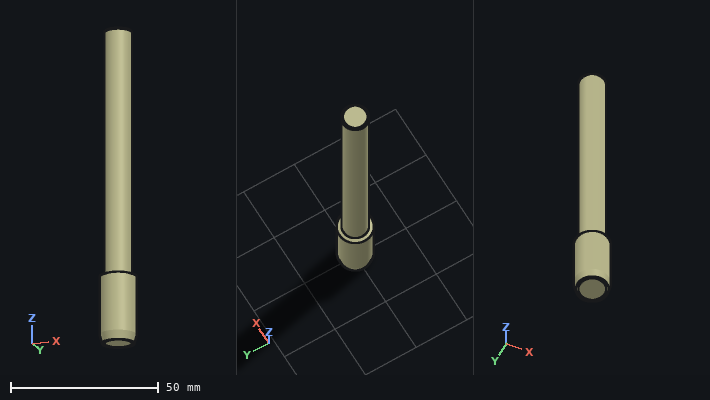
import cadquery as cq

total_length = 110.0

rod_radius = 4.7
rod_chamfer = 0.5

sleeve_radius = 6.32
sleeve_height = 24.0
shoulder_drop = 0.5
taper_height = 3.0
taper_inset = 0.79


def make_rod():
    """Plain rod running the full length, chamfered at its upper end."""
    return (
        cq.Workplane("XY")
        .circle(rod_radius)
        .extrude(total_length)
        .faces(">Z")
        .chamfer(rod_chamfer)
    )


def make_sleeve():
    """Revolved sleeve with a through bore for the rod."""
    return (
        cq.Workplane("XZ")
        .moveTo(rod_radius, 0)
        .lineTo(sleeve_radius - taper_inset, 0)
        .lineTo(sleeve_radius, taper_height)
        .lineTo(sleeve_radius, sleeve_height - shoulder_drop)
        .lineTo(rod_radius, sleeve_height)
        .close()
        .revolve(360, (0, 0, 0), (0, 1, 0))
    )


rod = make_rod()
sleeve = make_sleeve()

result = cq.Compound.makeCompound([rod.val(), sleeve.val()])